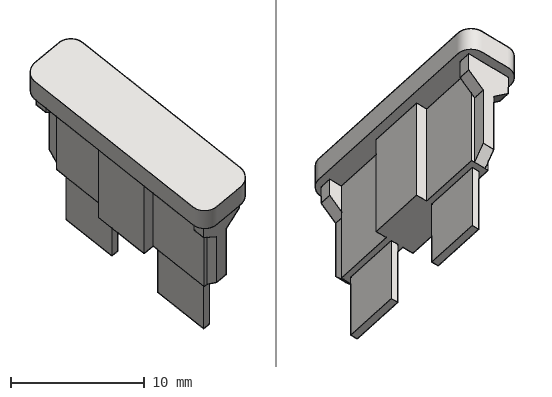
import cadquery as cq

cap_length = 19.05
cap_width = 5.09
cap_height = 2.29
cap_corner_radius = 1.28

total_height = 18.8
blade_exposed = 6.38
cap_bottom = total_height - cap_height
body_height = cap_bottom - blade_exposed

panel_length = 15.49
panel_thickness = 1.6
block_length = 4.8
block_thickness = 3.55

rib_projection = 1.03
rib_thickness = 1.03
rib_chamfer_height = 1.24
shoulder_thickness = 3.83
shoulder_height = 1.77
shoulder_taper_height = 1.28

blade_width = 4.82
blade_thickness = 0.63


def make_cap():
    """Flat bar with rounded vertical corners."""
    return (
        cq.Workplane("XY", origin=(0, 0, cap_bottom))
        .rect(cap_length, cap_width)
        .extrude(cap_height)
        .edges("|Z")
        .fillet(cap_corner_radius)
    )


def make_body_slab(length, thickness):
    """Rectangular slab hanging from the cap down to the body's lower face."""
    return (
        cq.Workplane("XY", origin=(0, 0, blade_exposed))
        .rect(length, thickness)
        .extrude(body_height)
    )


def make_end_rib():
    """Rib on the +X end: shoulder and taper above, chamfered outer corner below."""
    shoulder_bottom = cap_bottom - shoulder_height
    taper_bottom = shoulder_bottom - shoulder_taper_height
    half_rib = rib_thickness / 2
    half_shoulder = shoulder_thickness / 2
    rib = (
        cq.Workplane("YZ", origin=(panel_length / 2, 0, 0))
        .polyline([
            (-half_rib, blade_exposed),
            (half_rib, blade_exposed),
            (half_rib, taper_bottom),
            (half_shoulder, shoulder_bottom),
            (half_shoulder, cap_bottom),
            (-half_shoulder, cap_bottom),
            (-half_shoulder, shoulder_bottom),
            (-half_rib, taper_bottom),
        ])
        .close()
        .extrude(rib_projection)
    )
    inner_x = panel_length / 2
    outer_x = inner_x + rib_projection
    corner = (
        cq.Workplane("XZ")
        .polyline([
            (inner_x, blade_exposed),
            (outer_x, blade_exposed),
            (outer_x, blade_exposed + rib_chamfer_height),
        ])
        .close()
        .extrude(rib_thickness, both=True)
    )
    return rib.cut(corner)


def make_blade():
    """Blade on the +X side, flush with the side of the middle block and rooted in the panel."""
    return (
        cq.Workplane("XY")
        .center((block_length + blade_width) / 2, 0)
        .rect(blade_width, blade_thickness)
        .extrude(cap_bottom)
    )


result = make_cap()
result = result.union(make_body_slab(panel_length, panel_thickness))
result = result.union(make_body_slab(block_length, block_thickness))
for one_side in (make_end_rib(), make_blade()):
    result = result.union(one_side)
    result = result.union(one_side.mirror("YZ"))